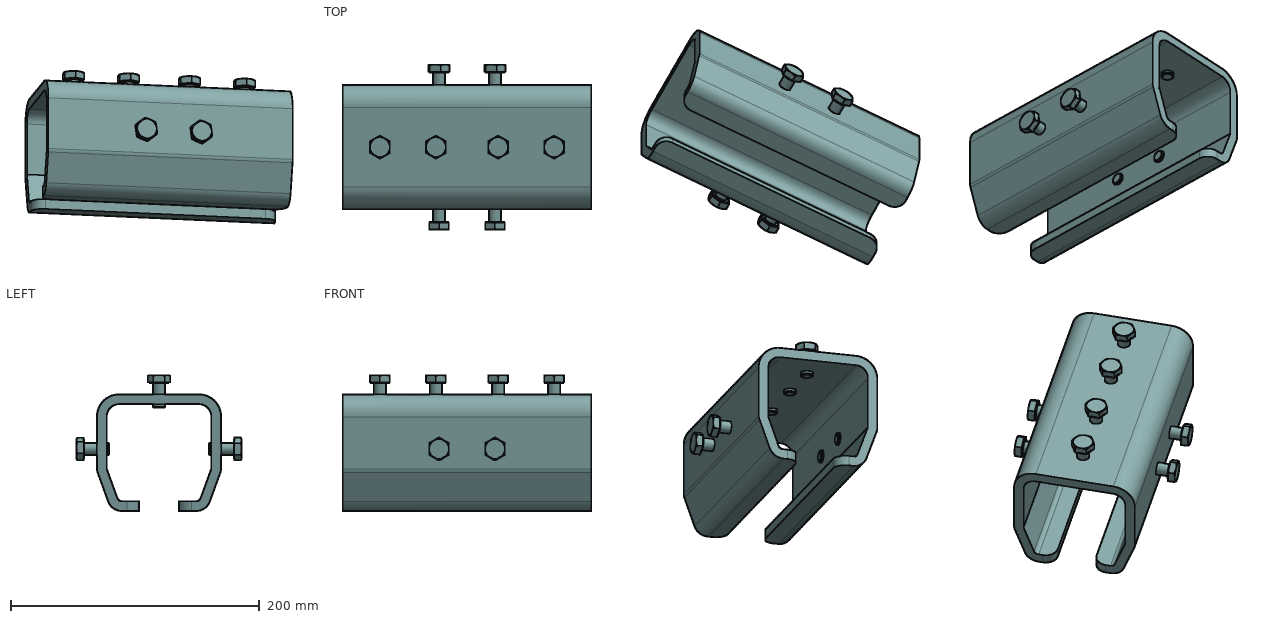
import cadquery as cq
import math

length = 200.0
width = 100.0
height = 94.0
wall = 8.0
slot_width = 32.0
lip_corner_radius = 10.0
top_bend_radius = 18.0
side_bend_radius = 8.0
bottom_bend_radius = 12.0
side_bend_height = 32.7
lean_angle = 20.0

thread_diameter = 10.0
bolt_tip_chamfer = 0.9
bolt_tip_diameter = thread_diameter - 2 * bolt_tip_chamfer
shank_length = 20.0
head_height = 6.4
head_flats = 16.0
head_chamfer_angle = 30.0
head_top_diameter = head_flats
head_corner_turn = 30.0
collar_diameter = 14.63
collar_height = 0.6

selection_margin = 0.1

top_bolt_positions = (-70.0, -25.0, 25.0, 70.0)
side_bolt_positions = (-22.5, 22.5)
side_bolt_height = 50.0
top_bolt_gap = 9.0
side_bolt_gap = 10.0
back_bolt_turn = 7.6


def bent_section(inset):
    """Solid bar with the channel's outline, moved inwards by the inset."""
    lean = math.radians(lean_angle)
    half_width = width / 2 - inset
    bottom = inset
    bend_z = side_bend_height + inset * math.tan(lean / 2)
    bottom_half_width = half_width - (bend_z - bottom) * math.tan(lean)
    bar = (
        cq.Workplane("YZ")
        .moveTo(-bottom_half_width, bottom)
        .lineTo(bottom_half_width, bottom)
        .lineTo(half_width, bend_z)
        .lineTo(half_width, height - inset)
        .lineTo(-half_width, height - inset)
        .lineTo(-half_width, bend_z)
        .close()
        .extrude(length / 2, both=True)
    )
    bends = (
        (bottom_half_width, bottom, bottom_bend_radius),
        (half_width, bend_z, side_bend_radius),
        (half_width, height - inset, top_bend_radius),
    )
    for y, z, outer_radius in bends:
        radius = outer_radius - inset
        if radius <= 0:
            continue
        for side in (-1, 1):
            corner = cq.selectors.BoxSelector(
                (-length, side * y - selection_margin, z - selection_margin),
                (length, side * y + selection_margin, z + selection_margin),
            )
            bar = bar.edges("|X").edges(corner).fillet(radius)
    return bar


def make_channel():
    channel = bent_section(0).cut(bent_section(wall))
    slot = cq.Workplane("XY").box(length, slot_width, 2 * wall)
    channel = channel.cut(slot)
    lip_ends = cq.selectors.BoxSelector(
        (-length, -slot_width / 2 - selection_margin, -selection_margin),
        (length, slot_width / 2 + selection_margin, wall + selection_margin),
    )
    return channel.edges("|Z").edges(lip_ends).fillet(lip_corner_radius)


def make_bolt():
    """Bolt along Z, head up, with the underside of the head at Z = 0."""
    corner_diameter = head_flats / math.cos(math.pi / 6)
    chamfer_width = (corner_diameter - head_top_diameter) / 2
    chamfer_drop = chamfer_width * math.tan(math.radians(head_chamfer_angle))
    hexagon = (
        cq.Workplane("XY")
        .workplane(offset=collar_height)
        .polygon(6, corner_diameter)
        .extrude(head_height - collar_height)
        .rotate((0, 0, 0), (0, 0, 1), head_corner_turn)
    )
    head_envelope = (
        cq.Workplane("XZ")
        .lineTo(corner_diameter / 2, 0)
        .lineTo(corner_diameter / 2, head_height - chamfer_drop)
        .lineTo(head_top_diameter / 2, head_height)
        .lineTo(0, head_height)
        .close()
        .revolve(360, (0, 0, 0), (0, 1, 0))
    )
    collar = cq.Workplane("XY").circle(collar_diameter / 2).extrude(collar_height)
    shank = (
        cq.Workplane("XZ")
        .lineTo(thread_diameter / 2, 0)
        .lineTo(thread_diameter / 2, bolt_tip_chamfer - shank_length)
        .lineTo(bolt_tip_diameter / 2, -shank_length)
        .lineTo(0, -shank_length)
        .close()
        .revolve(360, (0, 0, 0), (0, 1, 0))
    )
    return hexagon.intersect(head_envelope).union(collar).union(shank)


def make_top_bolt(x):
    return make_bolt().translate((x, 0, height + top_bolt_gap))


def make_side_bolt(x, side, turn):
    """Bolt through a side wall: side -1 is the front (-Y), +1 the back (+Y)."""
    return (
        make_bolt()
        .rotate((0, 0, 0), (0, 0, 1), turn)
        .rotate((0, 0, 0), (1, 0, 0), -90 * side)
        .translate((x, side * (width / 2 + side_bolt_gap), side_bolt_height))
    )


def bolt_holes():
    """Through holes in which the bolt shanks fit."""
    radius = thread_diameter / 2
    top = (
        cq.Workplane("XY")
        .workplane(offset=height - 2 * wall)
        .pushPoints([(x, 0) for x in top_bolt_positions])
        .circle(radius)
        .extrude(3 * wall)
    )
    sides = (
        cq.Workplane("XZ")
        .pushPoints([(x, side_bolt_height) for x in side_bolt_positions])
        .circle(radius)
        .extrude(width, both=True)
    )
    return top.union(sides)


channel = make_channel().cut(bolt_holes())
top_bolts = [make_top_bolt(x) for x in top_bolt_positions]
front_bolts = [make_side_bolt(x, -1, 0) for x in side_bolt_positions]
back_bolts = [make_side_bolt(x, 1, back_bolt_turn) for x in side_bolt_positions]

bolts = top_bolts + front_bolts + back_bolts
result = cq.Compound.makeCompound([channel.val()] + [bolt.val() for bolt in bolts])